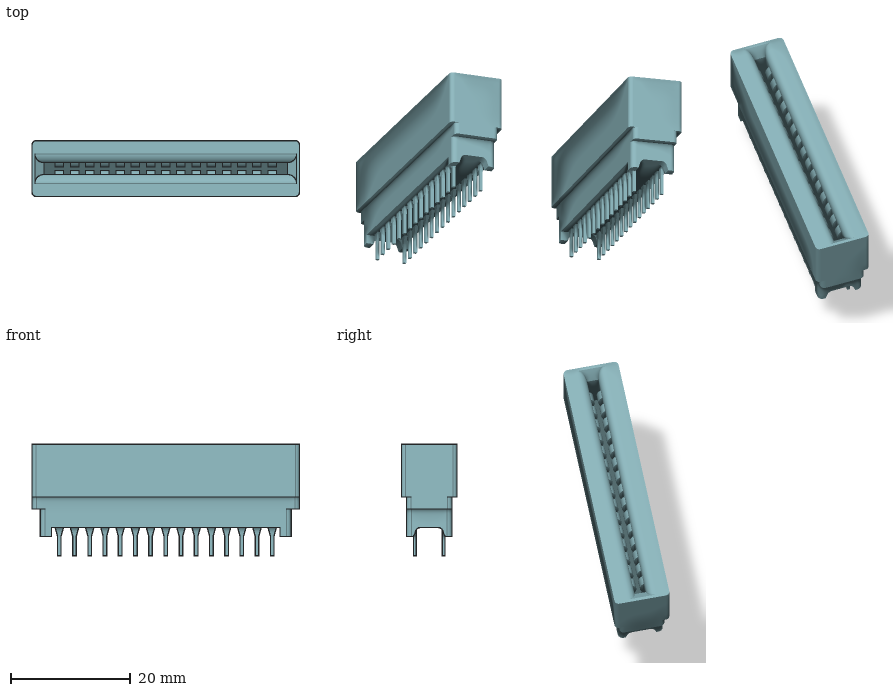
import cadquery as cq
import math


length = 44.7
width = 9.35
top_z = 15.44
shell_bottom_z = 6.61
shell_corner_radius = 0.72

waist_width = 7.65
waist_bottom_z = 4.59
waist_corner_radius = 0.75

base_length = 42.0
base_bottom_z = 1.5
base_corner_radius = 0.85

foot_length = 1.92
arch_bottom_width = 5.2
arch_top_width = 4.2
arch_corner_radius = 0.9

slot_width = 1.97
slot_length = 40.64
slot_floor_z = shell_bottom_z
mouth_width = 4.95
mouth_length = 43.7
lip_radius = (mouth_width - slot_width) / 2

pin_count = 15
pin_pitch = 2.54
row_spacing = 4.84
pin_bottom_z = -3.23
pin_width = 0.65
pin_thickness = 0.5
shoulder_width = 1.42
taper_height = 1.4
contact_bulge = 0.69
contact_bulge_radius = 2.1
contact_top_depth = 1.9


def rounded_block(x_size, y_size, z_low, z_high, corner_radius):
    """Upright block centred on Z with rounded vertical edges."""
    block = cq.Workplane("XY").workplane(offset=z_low).rect(x_size, y_size).extrude(z_high - z_low)
    return block.edges("|Z").fillet(corner_radius)


def housing():
    shell = rounded_block(length, width, shell_bottom_z, top_z, shell_corner_radius)
    waist = rounded_block(length, waist_width, waist_bottom_z, shell_bottom_z, waist_corner_radius)
    base = rounded_block(base_length, waist_width, 0, waist_bottom_z, base_corner_radius)
    return shell.union(waist).union(base)


def foot_clearance():
    """Space under the base between the two end feet."""
    clear_length = base_length - 2 * foot_length
    return cq.Workplane("XY").box(clear_length, width, base_bottom_z, centered=(True, True, False))


def arch():
    """Tapered opening between the legs of the feet, running along X."""
    outline = [
        (-arch_bottom_width / 2, 0),
        (arch_bottom_width / 2, 0),
        (arch_top_width / 2, base_bottom_z),
        (-arch_top_width / 2, base_bottom_z),
    ]
    prism = cq.Workplane("YZ").polyline(outline).close().extrude(base_length / 2, both=True)
    return prism.edges("|X and >Z").fillet(arch_corner_radius)


def card_slot():
    """Straight slot plus a mouth: the mouth narrows by convex lips in Y and by slopes in X."""
    slot = cq.Workplane("XY").workplane(offset=slot_floor_z)
    slot = slot.rect(slot_length, slot_width).extrude(top_z - slot_floor_z)

    lip_bottom_z = top_z - lip_radius
    lip_end_y = slot_width / 2
    mouth_y = mouth_width / 2
    arc_offset = lip_radius * math.sqrt(0.5)
    arc_mid_y = mouth_y - arc_offset
    arc_mid_z = lip_bottom_z + arc_offset
    lips = (
        cq.Workplane("YZ")
        .moveTo(-lip_end_y, lip_bottom_z)
        .lineTo(lip_end_y, lip_bottom_z)
        .threePointArc((arc_mid_y, arc_mid_z), (mouth_y, top_z))
        .lineTo(-mouth_y, top_z)
        .threePointArc((-arc_mid_y, arc_mid_z), (-lip_end_y, lip_bottom_z))
        .close()
        .extrude(mouth_length / 2, both=True)
    )
    lead_in = [
        (-slot_length / 2, lip_bottom_z),
        (slot_length / 2, lip_bottom_z),
        (mouth_length / 2, top_z),
        (-mouth_length / 2, top_z),
    ]
    slopes = cq.Workplane("XZ").polyline(lead_in).close().extrude(mouth_width / 2, both=True)
    return slot.union(lips.intersect(slopes))


def contact_pair():
    """Two facing contacts at X = 0: convex bulges standing out of the slot walls."""
    wall_y = slot_width / 2
    half_chord = math.sqrt(contact_bulge_radius**2 - (contact_bulge_radius - contact_bulge) ** 2)
    bulge_top_z = top_z - contact_top_depth
    tip = (wall_y - contact_bulge, bulge_top_z - half_chord)
    contact = (
        cq.Workplane("YZ")
        .moveTo(wall_y, bulge_top_z)
        .threePointArc(tip, (wall_y, bulge_top_z - 2 * half_chord))
        .close()
        .extrude(shoulder_width / 2, both=True)
    )
    return contact.union(contact.mirror("XZ"))


def pin_pair():
    """Two solder pins at X = 0, each tapering from a wide shoulder to a narrow tail."""
    taper_end_z = base_bottom_z - taper_height
    outline = [
        (-shoulder_width / 2, base_bottom_z),
        (-pin_width / 2, taper_end_z),
        (-pin_width / 2, pin_bottom_z),
        (pin_width / 2, pin_bottom_z),
        (pin_width / 2, taper_end_z),
        (shoulder_width / 2, base_bottom_z),
    ]
    pin = cq.Workplane("XZ").polyline(outline).close().extrude(pin_thickness / 2, both=True)
    return pin.translate((0, row_spacing / 2, 0)).union(pin.translate((0, -row_spacing / 2, 0)))


result = housing().cut(foot_clearance()).cut(arch()).cut(card_slot())

terminals = contact_pair().add(pin_pair()).combine()
for index in range(pin_count):
    pin_x = (index - (pin_count - 1) / 2) * pin_pitch
    result = result.union(terminals.translate((pin_x, 0, 0)))